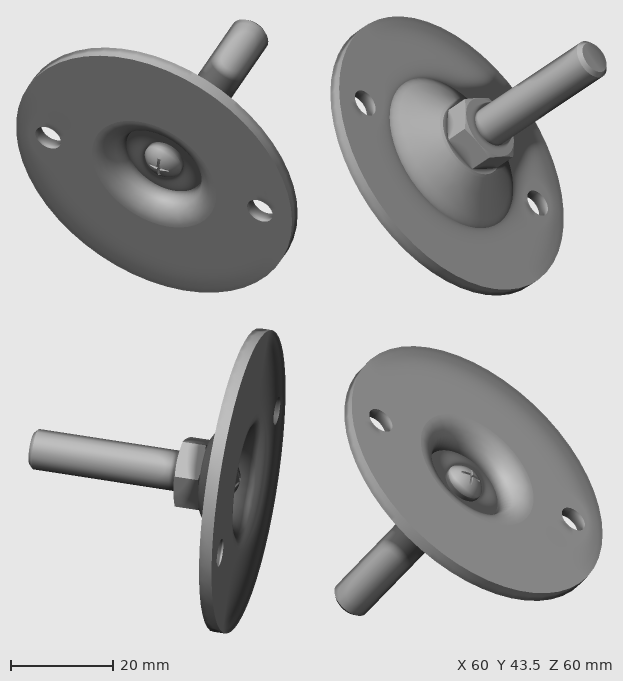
import cadquery as cq
import math


plate_diameter = 60.0
plate_thickness = 2.5
hole_diameter = 5.5
hole_spacing = 46.0

cone_base_radius = 16.5
cone_shoulder_radius = 8.15
cone_top_radius = 7.6
cone_shoulder_y = 8.0
cone_top_y = 8.3
dish_floor_radius = 8.45
dish_depth = 5.05
dish_mouth_radius = dish_floor_radius + dish_depth

stud_diameter = 8.0
stud_end_y = 43.5
stud_chamfer = 0.8
nut_across_flats = 12.9
nut_height = 5.3
nut_corner_radius = nut_across_flats / math.sqrt(3)
nut_bevel_width = 1.1
nut_bevel_height = 0.3

head_radius = stud_diameter / 2
head_rim_height = 1.0
dome_height = 2.3
cross_length = 4.25
cross_width = 0.6
cross_depth = 0.6

quarter_turn = math.sqrt(0.5)


def revolve_about_y(profile):
    return profile.close().revolve(360, (0, 0, 0), (0, 1, 0))


def make_plate():
    """Flat disc with a cone pressed out behind it and two mounting holes."""
    plate_radius = plate_diameter / 2
    wall_mid = (
        dish_mouth_radius - dish_depth * quarter_turn,
        dish_depth * (1 - quarter_turn),
    )
    profile = (
        cq.Workplane("XY")
        .moveTo(0, dish_depth)
        .lineTo(dish_floor_radius, dish_depth)
        .threePointArc(wall_mid, (dish_mouth_radius, 0))
        .lineTo(plate_radius, 0)
        .lineTo(plate_radius, plate_thickness)
        .lineTo(cone_base_radius, plate_thickness)
        .lineTo(cone_shoulder_radius, cone_shoulder_y)
        .lineTo(cone_top_radius, cone_top_y)
        .lineTo(0, cone_top_y)
    )
    holes = (
        cq.Workplane("XZ")
        .pushPoints([(-hole_spacing / 2, 0), (hole_spacing / 2, 0)])
        .circle(hole_diameter / 2)
        .extrude(-plate_thickness)
    )
    return revolve_about_y(profile).cut(holes)


def make_nut():
    """Hexagon with two corners along Z, its corners bevelled at both ends."""
    nut_top_y = cone_top_y + nut_height
    hexagon = (
        cq.Workplane("XZ", origin=(0, cone_top_y, 0))
        .transformed(rotate=(0, 0, 90))
        .polygon(6, 2 * nut_corner_radius)
        .extrude(-nut_height)
    )
    bevel_radius = nut_corner_radius - nut_bevel_width
    envelope = (
        cq.Workplane("XY")
        .moveTo(0, cone_top_y)
        .lineTo(bevel_radius, cone_top_y)
        .lineTo(nut_corner_radius, cone_top_y + nut_bevel_height)
        .lineTo(nut_corner_radius, nut_top_y - nut_bevel_height)
        .lineTo(bevel_radius, nut_top_y)
        .lineTo(0, nut_top_y)
    )
    return hexagon.intersect(revolve_about_y(envelope))


def make_stud():
    """Round stud from the cone to the free end, chamfered at its tip."""
    return (
        cq.Workplane("XZ", origin=(0, cone_top_y, 0))
        .circle(stud_diameter / 2)
        .extrude(cone_top_y - stud_end_y)
        .faces(">Y")
        .chamfer(stud_chamfer)
    )


def make_screw_head():
    """Short cylindrical rim under a spherical dome with a cross recess."""
    rim_y = dish_depth - head_rim_height
    crown_y = rim_y - dome_height
    sphere_radius = (head_radius**2 + dome_height**2) / (2 * dome_height)
    mid_angle = math.asin(head_radius / sphere_radius) / 2
    dome_mid = (
        sphere_radius * math.sin(mid_angle),
        crown_y + sphere_radius * (1 - math.cos(mid_angle)),
    )
    profile = (
        cq.Workplane("XY")
        .moveTo(0, dish_depth)
        .lineTo(head_radius, dish_depth)
        .lineTo(head_radius, rim_y)
        .threePointArc(dome_mid, (0, crown_y))
    )
    head = revolve_about_y(profile)
    for length_x, length_z in ((cross_length, cross_width), (cross_width, cross_length)):
        slot = (
            cq.Workplane("XZ", origin=(0, crown_y, 0))
            .rect(length_x, length_z)
            .extrude(-cross_depth)
        )
        head = head.cut(slot)
    return head


result = make_plate().union(make_nut()).union(make_stud()).union(make_screw_head())